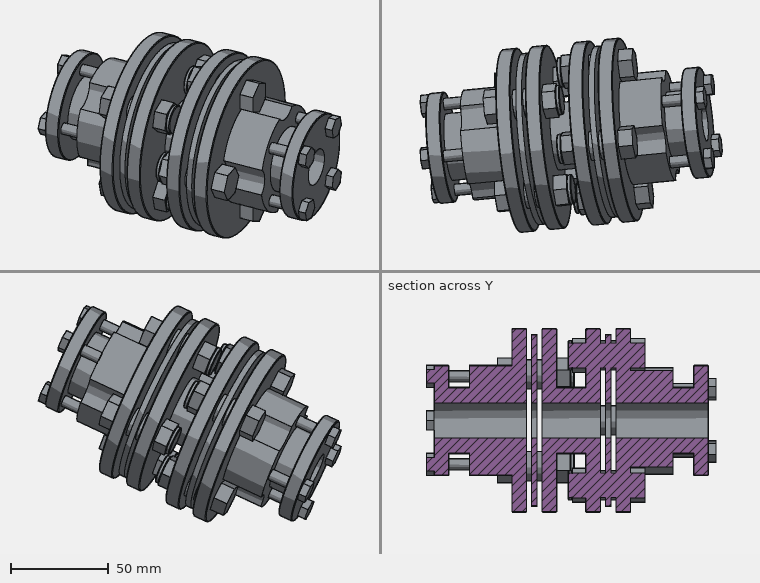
import cadquery as cq

LENGTH = 148.0
BOLTS_PER_CIRCLE = 4
HALF_SPACING = 180.0 / BOLTS_PER_CIRCLE

FLANGE_R = 94.0 / 2
DISC_R = 44.0
HUB_R = 28.3
CORE_R = 17.2
BORE_R = 9.6
EDGE_CHAMFER = 0.5

BOLT_CIRCLE_R = 33.2
BOLT_R = 7.5
BOLT_HEX_R = 8.7
BOLT_HEAD_T = 7.4
NUT_T = 6.8
BOLT_TIP = 2.2

SCREW_CIRCLE_R = 22.5
SCREW_R = 3.0
SCREW_HEX_R = 5.8
SCREW_HEAD_T = 4.0

SCALLOP_R = 9.3
SCALLOP_TURN = 2.8

PLATE_T = 7.5
PLATE_GAP = 10.4
HUB_LENGTH = 21.8
DISC_T = 3.0
FLANGE_GAP = 7.8
DISC_GAP = (FLANGE_GAP - DISC_T) / 2
HALF_LENGTH = LENGTH / 2

END_PLATE_X = -HALF_LENGTH + SCREW_HEAD_T
CORE_X = END_PLATE_X + PLATE_T
HUB_X = CORE_X + PLATE_GAP
OUTER_FLANGE_X = HUB_X + HUB_LENGTH
DISC_X = OUTER_FLANGE_X + PLATE_T + DISC_GAP
INNER_FLANGE_X = DISC_X + DISC_T + DISC_GAP
SPACER_X = INNER_FLANGE_X + PLATE_T


def rod(start, length, radius):
    """Cylinder on the X axis running from start towards +X."""
    return cq.Workplane("YZ").workplane(offset=start).circle(radius).extrude(length)


def chamfered_disc(start, length, radius):
    """Round disc with both rims chamfered."""
    return rod(start, length, radius).edges().chamfer(EDGE_CHAMFER)


def hexagon(start, length, corner_r):
    """Hexagonal prism on the X axis with one corner pointing towards +Y."""
    return cq.Workplane("YZ").workplane(offset=start).polygon(6, 2 * corner_r).extrude(length)


def around(shape, circle_r, first_angle):
    """Equally spaced copies of an on-axis shape, each facing outwards on its circle."""
    placed = shape.translate((0, circle_r, 0))
    ring = cq.Workplane("YZ")
    for index in range(BOLTS_PER_CIRCLE):
        angle = first_angle + index * 2 * HALF_SPACING
        ring = ring.add(placed.rotate((0, 0, 0), (1, 0, 0), angle))
    return ring.combine()


def scalloped_hub():
    hub = rod(HUB_X, HUB_LENGTH, HUB_R)
    scallop = rod(HUB_X, HUB_LENGTH, SCALLOP_R)
    return hub.cut(around(scallop, BOLT_CIRCLE_R, HALF_SPACING - SCALLOP_TURN))


def main_bolt():
    head = hexagon(OUTER_FLANGE_X - BOLT_HEAD_T, BOLT_HEAD_T, BOLT_HEX_R)
    shank = rod(OUTER_FLANGE_X, SPACER_X - OUTER_FLANGE_X, BOLT_R)
    nut = hexagon(SPACER_X, NUT_T, BOLT_HEX_R)
    tip = chamfered_disc(SPACER_X + NUT_T, BOLT_TIP, BOLT_R)
    return head.union(shank).union(nut).union(tip)


def clamp_screw():
    head = hexagon(-HALF_LENGTH, SCREW_HEAD_T, SCREW_HEX_R)
    return head.union(rod(END_PLATE_X, HUB_X - END_PLATE_X, SCREW_R))


def coupling_half():
    half = chamfered_disc(END_PLATE_X, PLATE_T, HUB_R)
    half = half.union(rod(CORE_X, PLATE_GAP, CORE_R))
    half = half.union(scalloped_hub())
    half = half.union(chamfered_disc(OUTER_FLANGE_X, PLATE_T, FLANGE_R))
    half = half.union(rod(DISC_X, DISC_T, DISC_R))
    half = half.union(chamfered_disc(INNER_FLANGE_X, PLATE_T, FLANGE_R))
    half = half.union(around(clamp_screw(), SCREW_CIRCLE_R, 0))
    return half.union(around(main_bolt(), BOLT_CIRCLE_R, HALF_SPACING))


left_half = coupling_half()
right_half = left_half.mirror("YZ").rotate((0, 0, 0), (1, 0, 0), HALF_SPACING)
spacer = rod(SPACER_X, -2 * SPACER_X, CORE_R)
bore = rod(-HALF_LENGTH, LENGTH, BORE_R)

result = left_half.union(right_half).union(spacer).cut(bore)